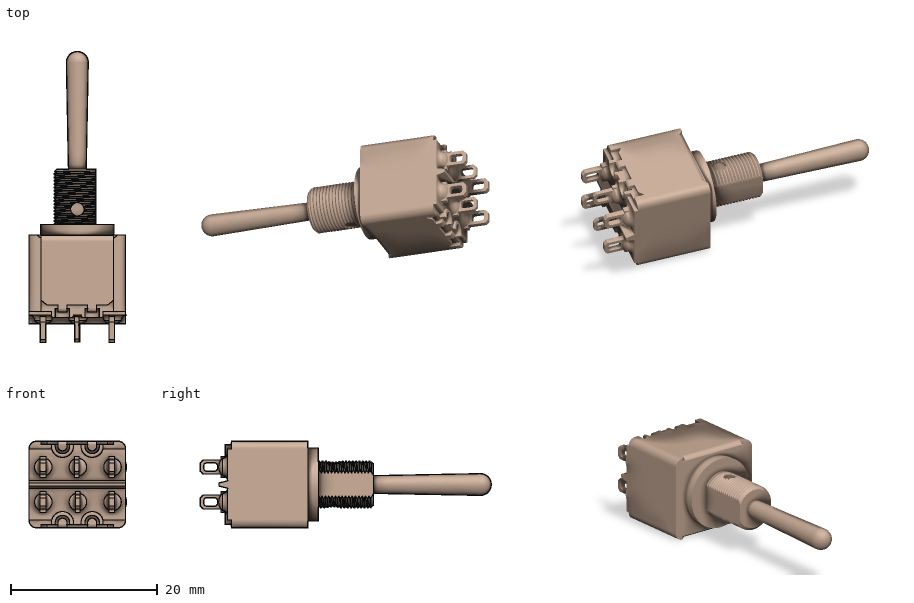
import cadquery as cq
import math


housing_width = 13.2
housing_height = 11.85
housing_corner_radius = 1.05
wall_end = 10.45
face_end = 10.95
ledge_drop = 1.07
ridge_end = 12.15
ridge_base_width = 1.05
ridge_tip_width = 0.45
top = housing_height / 2

sheet = 0.48
strap_width = 9.85
strap_end = 9.55
strap_bend_radius = 0.9
strap_chamfer_across = 0.8
strap_chamfer_along = 0.65
flange_radius = top - strap_bend_radius
flange_length = 1.43
bushing_radius = 3.18
bushing_end = 8.97
bushing_chamfer = 0.4
bushing_flat_x = 2.55
thread_turns = 16.5
thread_pitch = (bushing_end - flange_length) / thread_turns
thread_depth = 0.2
groove_mouth_radius = 3.2
groove_mouth_width = 0.45
dimple_radius = 0.9
dimple_y = 3.5
dimple_floor_z = 2.78
lip_notch_across = 0.6
lip_notch_along = 0.48
floor_z = top - sheet

tab_spacing = 4.05
tab_width = 1.25
tab_tilt = 10
pocket_back = 10.05
pocket_radius = 1.0
pocket_drop = 0.7
boss_radius = 1.5
boss_end = 11.27
boss_fillet = 0.25
pocket_z = top - pocket_drop

column_pitch = 4.72
row_spacing = 4.75
dome_shift_x = 0.08
dome_radius = 1.9
dome_neck_radius = 1.2
dome_apex = 12.2
outer_terminal_pitch = 4.7
outer_terminal_thickness = 0.8
outer_terminal_end = 14.7
middle_terminal_thickness = 0.6
middle_terminal_end = 14.6
middle_terminal_shift = 0.08
shoulder_width = 2.8
shoulder_end = 11.87
blade_width = 1.95
blade_chamfer = 0.4
eye_start = 12.35
eye_length = 1.83
eye_width = 1.1
eye_corner_radius = 0.35

lever_tip = 25.0
lever_tip_radius = 1.5
lever_neck_radius = 1.25


def block(width, y_low, y_high, z_low, z_high, x=0):
    """Box centred on x, given by its Y and Z limits."""
    box = cq.Workplane("XY").box(width, y_high - y_low, z_high - z_low, centered=(True, False, False))
    return box.translate((x, y_low, z_low))


def rod(radius, y_low, y_high, x=0, z=0):
    """Cylinder along Y."""
    return cq.Workplane("XZ", origin=(x, y_low, z)).circle(radius).extrude(y_low - y_high)


def with_underside(body):
    """Join a shape to its mirror image below Z = 0."""
    return body.union(body.mirror("XY"))


def yz_extrude(wire, width, x=0):
    """Extrude a closed YZ outline evenly to both sides of x."""
    return wire.extrude(width / 2, both=True).translate((x, 0, 0))


def make_lever():
    cap_y = lever_tip - lever_tip_radius
    arc_offset = lever_tip_radius * math.sqrt(0.5)
    return (
        cq.Workplane("XY")
        .moveTo(0, flange_length)
        .lineTo(lever_neck_radius, flange_length)
        .lineTo(lever_neck_radius, bushing_end)
        .lineTo(lever_tip_radius, cap_y)
        .threePointArc((arc_offset, cap_y + arc_offset), (0, lever_tip))
        .close()
        .revolve(360, (0, 0, 0), (0, 1, 0))
    )


def make_threaded_rod():
    """Rod longer than the bushing, with a helical V-groove that stops short of both its ends."""
    root_radius = bushing_radius - thread_depth
    overrun = 2 * thread_pitch
    start = flange_length - overrun
    length = bushing_end - flange_length + 2 * overrun
    blank = rod(bushing_radius, start - overrun, start + length + overrun)
    path = cq.Wire.makeHelix(thread_pitch, length, root_radius)
    groove = (
        cq.Workplane("XZ")
        .moveTo(root_radius, 0)
        .lineTo(groove_mouth_radius, groove_mouth_width / 2)
        .lineTo(groove_mouth_radius, -groove_mouth_width / 2)
        .close()
        .sweep(cq.Workplane(obj=path), isFrenet=True)
    )
    return blank.cut(groove.rotate((0, 0, 0), (1, 0, 0), -90).translate((0, start, 0)))


def make_bushing():
    clearance = 0.4
    envelope = rod(bushing_radius + clearance, flange_length, bushing_end)
    envelope = envelope.faces(">Y").chamfer(bushing_chamfer + clearance)
    bushing = make_threaded_rod().intersect(envelope)
    flat_depth = bushing_radius
    flat_x = bushing_flat_x + flat_depth / 2
    bushing = bushing.cut(
        block(flat_depth, flange_length, bushing_end, -bushing_radius, bushing_radius, x=flat_x)
    )
    dimple = (
        cq.Workplane("XY", origin=(0, dimple_y, dimple_floor_z))
        .circle(dimple_radius)
        .extrude(bushing_radius - dimple_floor_z)
    )
    return bushing.cut(with_underside(dimple))


def make_strap():
    outer = block(strap_width, -strap_end, 0, -top, top)
    outer = outer.edges("|X and >Y").fillet(strap_bend_radius)
    inner = block(strap_width, -strap_end, -sheet, -floor_z, floor_z)
    inner = inner.edges("|X and >Y").fillet(strap_bend_radius - sheet)
    corner = (
        cq.Workplane("XY")
        .moveTo(strap_width / 2, -strap_end)
        .lineTo(strap_width / 2 - strap_chamfer_across, -strap_end)
        .lineTo(strap_width / 2, -strap_end + strap_chamfer_along)
        .close()
        .extrude(top, both=True)
    )
    return outer.cut(inner).cut(corner).cut(corner.mirror("YZ"))


def make_tab(x):
    """Upper tab: bent round the pocket's back edge, its tip a half circle."""
    tilt = math.radians(tab_tilt)
    leg = pocket_drop + tab_width
    out_y, out_z = math.cos(tilt), math.sin(tilt)
    along_y, along_z = math.sin(tilt), -math.cos(tilt)
    mid_angle = (math.pi / 2 - tilt) / 2
    bend_end = (-pocket_back - sheet * out_y, floor_z - sheet * out_z)
    bend_mid = (-pocket_back - sheet * math.cos(mid_angle), floor_z + sheet * math.sin(mid_angle))
    side = (
        cq.Workplane("YZ")
        .moveTo(-strap_end, floor_z)
        .lineTo(-strap_end, top)
        .lineTo(-pocket_back, top)
        .threePointArc(bend_mid, bend_end)
        .lineTo(bend_end[0] + leg * along_y, bend_end[1] + leg * along_z)
        .lineTo(-pocket_back + leg * along_y, floor_z + leg * along_z)
        .lineTo(-pocket_back, floor_z)
        .close()
    )
    half = tab_width / 2
    front = (
        cq.Workplane("XZ")
        .moveTo(x - half, top)
        .lineTo(x - half, pocket_z)
        .threePointArc((x, pocket_z - half), (x + half, pocket_z))
        .lineTo(x + half, top)
        .close()
        .extrude(boss_end)
    )
    return yz_extrude(side, tab_width, x).intersect(front)


def make_bracket(lever):
    bracket = make_strap().union(rod(flange_radius, 0, flange_length)).union(make_bushing())
    for x in (-tab_spacing / 2, tab_spacing / 2):
        bracket = bracket.union(with_underside(make_tab(x)))
    return bracket.cut(lever)


def make_lip_notches():
    """Pair of triangular cutters at the lever-end corners of the upper recess."""
    notch = (
        cq.Workplane("XY", origin=(0, 0, floor_z))
        .moveTo(strap_width / 2, 0)
        .lineTo(strap_width / 2 + lip_notch_across, 0)
        .lineTo(strap_width / 2, -lip_notch_along)
        .close()
        .extrude(sheet)
    )
    return notch.union(notch.mirror("YZ"))


def make_case():
    """Rounded block stepped down to the terminal face, with the flat recess that takes the strap."""
    case = block(housing_width, -wall_end, 0, -top, top).edges("|Y").fillet(housing_corner_radius)
    ledge_z = top - ledge_drop
    case = case.union(block(housing_width, -face_end, -wall_end, -ledge_z, ledge_z))
    recess = block(strap_width, -wall_end, 0, floor_z, top)
    case = case.cut(with_underside(recess.union(make_lip_notches())))
    return case.union(block(tab_spacing, -face_end, -wall_end, -floor_z, floor_z))


def make_boss(x):
    """Upper collar round a pocket, cut off level with the recess."""
    boss = rod(boss_radius, -boss_end, -wall_end, x, pocket_z).faces("<Y").edges().fillet(boss_fillet)
    return boss.intersect(block(2 * boss_radius, -boss_end, -wall_end, 0, floor_z, x))


def make_pocket(x):
    """Upper round pocket whose back leans like the tab."""
    lean = math.tan(math.radians(tab_tilt))
    bottom_z = pocket_z - pocket_radius
    side = (
        cq.Workplane("YZ")
        .moveTo(-boss_end, floor_z)
        .lineTo(-pocket_back, floor_z)
        .lineTo(-pocket_back + (floor_z - bottom_z) * lean, bottom_z)
        .lineTo(-boss_end, bottom_z)
        .close()
    )
    return yz_extrude(side, 2 * pocket_radius, x).intersect(rod(pocket_radius, -boss_end, 0, x, pocket_z))


def make_ridge():
    base_half = ridge_base_width / 2
    tip_half = ridge_tip_width / 2
    outline = (
        cq.Workplane("YZ")
        .moveTo(-face_end, -base_half)
        .lineTo(-ridge_end, -tip_half)
        .lineTo(-ridge_end, tip_half)
        .lineTo(-face_end, base_half)
        .close()
    )
    return yz_extrude(outline, housing_width)


def make_dome(x, z):
    """Bell shape: a hollow fillet rising from the face to a rounded cap."""
    flare = dome_radius - dome_neck_radius
    neck_y = -face_end - flare
    cap_height = dome_apex - face_end - flare
    cap_radius = (dome_neck_radius**2 + cap_height**2) / (2 * cap_height)
    half_angle = math.asin(dome_neck_radius / cap_radius) / 2
    flare_mid = flare * (1 - math.sqrt(0.5))
    cap_mid = (
        cap_radius * math.sin(half_angle),
        -dome_apex + cap_radius * (1 - math.cos(half_angle)),
    )
    dome = (
        cq.Workplane("XY")
        .moveTo(0, -face_end)
        .lineTo(dome_radius, -face_end)
        .threePointArc((dome_neck_radius + flare_mid, -face_end - flare_mid), (dome_neck_radius, neck_y))
        .threePointArc(cap_mid, (0, -dome_apex))
        .close()
        .revolve(360, (0, 0, 0), (0, 1, 0))
    )
    return dome.translate((x, 0, z))


def make_terminal(x, z, thickness, end):
    shoulder = block(thickness, -shoulder_end, -face_end, -shoulder_width / 2, shoulder_width / 2)
    blade = block(thickness, -end, -face_end, -blade_width / 2, blade_width / 2)
    blade = blade.edges("|X and <Y").chamfer(blade_chamfer)
    eye = block(thickness, -eye_start - eye_length, -eye_start, -eye_width / 2, eye_width / 2)
    eye = eye.edges("|X").fillet(eye_corner_radius)
    return shoulder.union(blade).cut(eye).translate((x, 0, z))


def make_housing(bracket):
    housing = make_case().union(make_ridge())
    for x in (-tab_spacing / 2, tab_spacing / 2):
        housing = housing.union(with_underside(make_boss(x)))
        housing = housing.cut(with_underside(make_pocket(x)))
    for row in (-1, 1):
        z = row * row_spacing / 2
        for column in (-1, 0, 1):
            housing = housing.union(make_dome(dome_shift_x + column * column_pitch, z))
        for column in (-1, 1):
            x = column * outer_terminal_pitch
            housing = housing.union(make_terminal(x, z, outer_terminal_thickness, outer_terminal_end))
        x = -row * middle_terminal_shift
        housing = housing.union(make_terminal(x, z, middle_terminal_thickness, middle_terminal_end))
    return housing.cut(bracket)


lever = make_lever()
bracket = make_bracket(lever)
housing = make_housing(bracket)

result = cq.Compound.makeCompound([lever.val(), bracket.val(), housing.val()])